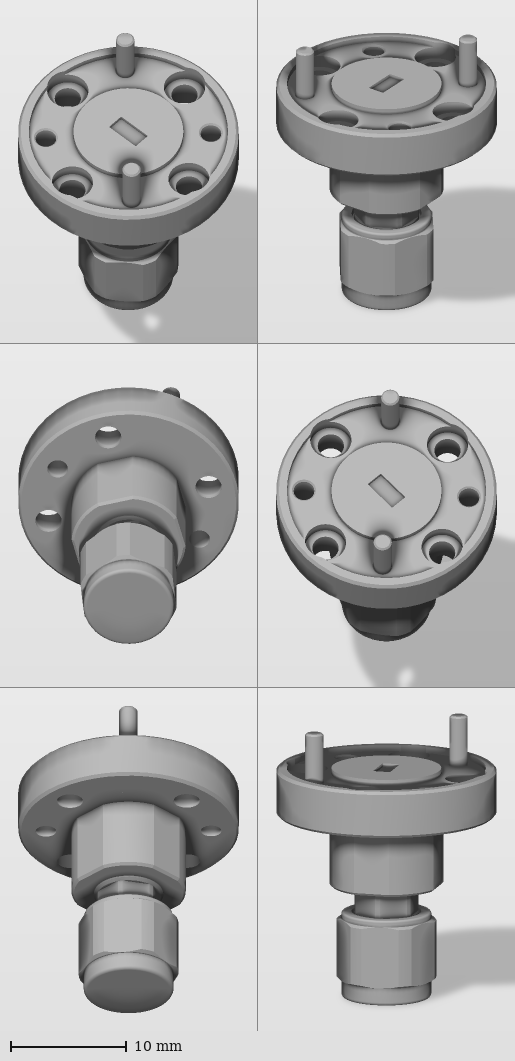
import cadquery as cq
import math


flange_diameter = 19.05
flange_thickness = 4.1
flange_chamfer = 0.25

recess_diameter = 17.2
boss_diameter = 9.5
recess_depth = 0.5

window_length = 3.13
window_width = 1.55
window_depth = 0.34
window_corner_radius = 0.07

bolt_circle_radius = 7.13
screw_hole_diameter = 2.26
counterbore_diameter = 3.57
counterbore_depth = 1.05
dowel_hole_diameter = 1.78
dowel_hole_chamfer = 0.15
screw_angles = [0, 90, 180, 270]
dowel_hole_angles = [45, 225]
pin_angles = [135, 315]

pin_diameter = 1.57
pin_projection = 3.85
pin_tip_chamfer = 0.15
pin_hole_chamfer = 0.1

barrel_diameter = 9.88
barrel_across_flats = 9.37
barrel_length = 6.29
barrel_chamfer = 0.22

neck_diameter = 5.6
neck_across_flats = 5.03
neck_hex_length = 2.02
shoulder_diameter = 6.02
shoulder_height = 0.34
shoulder_chamfer = (shoulder_diameter - neck_diameter) / 2

collar_diameter = 7.75
collar_top_fillet = 0.2
collar_bottom_fillet = 0.3
top_collar_height = 0.55
nut_hex_height = 5.42
bottom_collar_height = 1.57
nut_across_flats = 8.0
nut_across_corners = 8.62
nut_hex_turn = 38.0
nut_end_bevel_width = 0.31
nut_end_bevel_height = 0.2
groove_diameter = 6.02
groove_depth = top_collar_height
neck_round_setback = 0.05

recess_floor_z = -recess_depth
barrel_top_z = -flange_thickness
barrel_bottom_z = barrel_top_z - barrel_length
shoulder_bottom_z = barrel_bottom_z - shoulder_height
neck_hex_bottom_z = shoulder_bottom_z - neck_hex_length
nut_top_z = neck_hex_bottom_z + neck_round_setback
nut_hex_top_z = nut_top_z - top_collar_height
nut_hex_bottom_z = nut_hex_top_z - nut_hex_height
nut_bottom_z = nut_hex_bottom_z - bottom_collar_height


def cylinder(diameter, bottom_z, top_z):
    """Cylinder on the Z axis."""
    return cq.Workplane("XY").workplane(offset=bottom_z).circle(diameter / 2).extrude(top_z - bottom_z)


def hexagon(across_flats, bottom_z, top_z):
    """Hexagonal prism on the Z axis, with two of its corners on the X axis."""
    corner_diameter = across_flats / math.cos(math.radians(30))
    return cq.Workplane("XY").workplane(offset=bottom_z).polygon(6, corner_diameter).extrude(top_z - bottom_z)


def on_bolt_circle(angles, z):
    """Workplane at height z with one point for each angle on the bolt circle."""
    points = []
    for angle in angles:
        turn = math.radians(angle)
        points.append((bolt_circle_radius * math.cos(turn), bolt_circle_radius * math.sin(turn)))
    return cq.Workplane("XY").workplane(offset=z).pushPoints(points)


def chamfered_holes(angles, diameter, chamfer):
    """Cutters for holes through the flange, chamfered at the recess floor."""
    holes = on_bolt_circle(angles, 0).circle(diameter / 2).extrude(-flange_thickness)
    mouth = cq.Solid.makeCone(diameter / 2, diameter / 2 + chamfer, chamfer)
    mouths = on_bolt_circle(angles, recess_floor_z - chamfer).eachpoint(mouth.moved)
    return holes.union(mouths)


def make_flange():
    flange = cylinder(flange_diameter, barrel_top_z, 0).faces("<Z or >Z").chamfer(flange_chamfer)
    recess = cylinder(recess_diameter, recess_floor_z, 0).cut(cylinder(boss_diameter, recess_floor_z, 0))
    counterbores = (
        on_bolt_circle(screw_angles, recess_floor_z - counterbore_depth)
        .circle(counterbore_diameter / 2)
        .extrude(recess_depth + counterbore_depth)
    )
    screw_holes = on_bolt_circle(screw_angles, 0).circle(screw_hole_diameter / 2).extrude(-flange_thickness)
    window = (
        cq.Workplane("XY")
        .rect(window_length, window_width)
        .extrude(-window_depth)
        .edges("|Z")
        .fillet(window_corner_radius)
    )
    return (
        flange.cut(recess)
        .cut(counterbores)
        .cut(screw_holes)
        .cut(chamfered_holes(dowel_hole_angles, dowel_hole_diameter, dowel_hole_chamfer))
        .cut(chamfered_holes(pin_angles, pin_diameter, pin_hole_chamfer))
        .cut(window)
    )


def make_barrel():
    square = (
        cq.Workplane("XY")
        .workplane(offset=barrel_bottom_z)
        .rect(barrel_across_flats, barrel_across_flats)
        .extrude(barrel_length)
    )
    barrel = cylinder(barrel_diameter, barrel_bottom_z, barrel_top_z).intersect(square)
    return barrel.faces("<Z").chamfer(barrel_chamfer)


def make_neck():
    shoulder = cylinder(shoulder_diameter, shoulder_bottom_z, barrel_bottom_z)
    shoulder = shoulder.faces("<Z").chamfer(shoulder_chamfer)
    milled = cylinder(neck_diameter, neck_hex_bottom_z, shoulder_bottom_z).intersect(
        hexagon(neck_across_flats, neck_hex_bottom_z, shoulder_bottom_z)
    )
    round_end = cylinder(neck_diameter, nut_top_z - groove_depth, neck_hex_bottom_z)
    return shoulder.union(milled).union(round_end)


def make_nut():
    collar = (
        cylinder(collar_diameter, nut_bottom_z, nut_top_z)
        .faces(">Z")
        .edges()
        .fillet(collar_top_fillet)
        .faces("<Z")
        .edges()
        .fillet(collar_bottom_fillet)
    )
    bevelled_round = (
        cylinder(nut_across_corners, nut_hex_bottom_z, nut_hex_top_z)
        .faces("<Z or >Z")
        .chamfer(nut_end_bevel_height, nut_end_bevel_width)
    )
    flats = hexagon(nut_across_flats, nut_hex_bottom_z, nut_hex_top_z)
    flats = flats.rotate((0, 0, 0), (0, 0, 1), nut_hex_turn)
    groove = cylinder(groove_diameter, nut_top_z - groove_depth, nut_top_z)
    return collar.union(bevelled_round.intersect(flats)).cut(groove)


def make_pins():
    """Pins as separate solids, one for each pin hole."""
    pin = (
        cylinder(pin_diameter, barrel_top_z, pin_projection)
        .faces(">Z")
        .chamfer(pin_tip_chamfer)
        .translate((bolt_circle_radius, 0, 0))
    )
    return [pin.rotate((0, 0, 0), (0, 0, 1), angle).val() for angle in pin_angles]


adapter = make_flange().union(make_barrel()).union(make_neck()).union(make_nut())
pins = make_pins()

result = cq.Compound.makeCompound([adapter.val(), *pins])